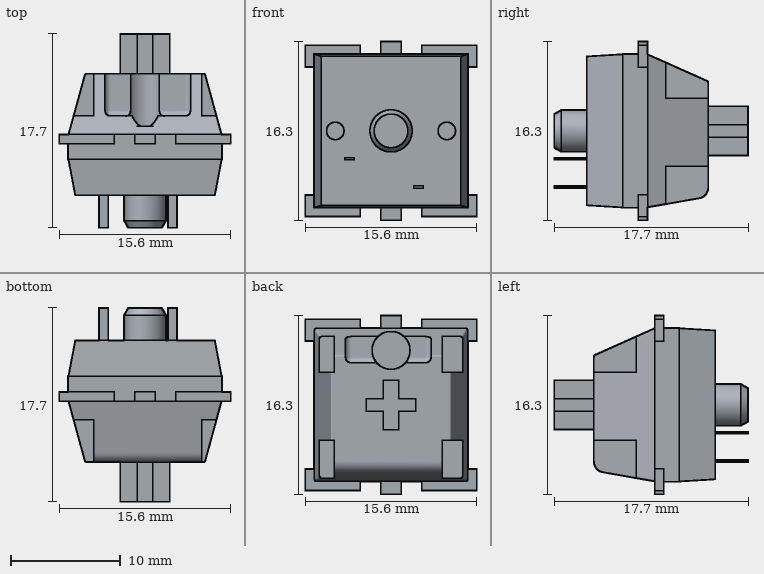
import cadquery as cq
import math


COLLAR_SIDE = 14.05
TAPER_SIDE = 13.98
TAPER_START_Y = -2.27
FLOOR_Y = -5.55
FLOOR_WIDTH = 12.74
FLOOR_HEIGHT = 13.58

LUG_THICKNESS = 0.86
CORNER_LUG_SPAN = 15.64
CORNER_LUG_WIDTH = 5.03
CORNER_LUG_HEIGHT = 2.0
MIDDLE_LUG_SPAN = 16.33
MIDDLE_LUG_WIDTH = 1.9

UPPER_SIDE = 13.96
ROOF_Y = 5.54
ROOF_WIDTH = 10.92
ROOF_FRONT_Z = 4.51
ROOF_BACK_Z = -6.0
BACK_ROUND = 1.0
EDGE_ROUND = 0.2
STEP_Y = 1.68
CUT_CENTER_X = 0.25
NOTCH_SPACING = 9.81
NOTCH_FRONT_Z = 2.98
NOTCH_BACK_Z = -3.22

POCKET_WIDTH = 7.8
POCKET_WALL_Z = 3.84
POCKET_FILLET = 0.5
GROOVE_RADIUS = 1.73
GROOVE_CENTER_Z = 4.97
GROOVE_FLOOR_Y = 0.72

STEM_TOP_Y = 9.16
STEM_SPAN = 4.53
STEM_UPRIGHT_WIDTH = 1.386
STEM_CROSSBAR_HEIGHT = 1.13

TIP_Y = -8.52
POST_DIAMETER = 3.85
POST_TAPER_LENGTH = 0.67
POST_TAPER_ANGLE = 30
PIN_WIDTH = 0.85
PIN_THICKNESS = 0.2
PIN_POSITIONS = [(-3.77, -2.53), (2.5, -5.11)]
PLUG_DIAMETER = 1.6
PLUG_DEPTH = 1.0
PLUG_OFFSET_X = 5.08


def box(x_range, y_range, z_range):
    """Box between the given limits on each axis."""
    low, high = zip(x_range, y_range, z_range)
    size = [b - a for a, b in zip(low, high)]
    return cq.Workplane("XY").box(*size, centered=False).translate(low)


def centered_bar(width, height, y_range, center=(0, 0)):
    """Bar along Y with a width x height section centred at (X, Z)."""
    x, z = center
    return box(
        (x - width / 2, x + width / 2),
        y_range,
        (z - height / 2, z + height / 2),
    )


def cylinder(diameter, y_range, center=(0, 0)):
    """Cylinder along Y centred at (X, Z)."""
    start, end = y_range
    x, z = center
    disc = cq.Workplane("XZ", origin=(x, end, z)).circle(diameter / 2)
    return disc.extrude(end - start)


def side_plugs():
    plugs = cq.Workplane("XY")
    for x in (-PLUG_OFFSET_X, PLUG_OFFSET_X):
        plug = cylinder(PLUG_DIAMETER, (FLOOR_Y, FLOOR_Y + PLUG_DEPTH), (x, 0))
        plugs = plugs.add(plug.val())
    return plugs


def flange_lugs():
    """Four corner lugs and two middle lugs, as blocks that reach into the housing."""
    lug_y = (-LUG_THICKNESS, 0)
    lugs = centered_bar(MIDDLE_LUG_WIDTH, MIDDLE_LUG_SPAN, lug_y)
    for x_side in (-1, 1):
        for z_side in (-1, 1):
            center = (
                x_side * (CORNER_LUG_SPAN - CORNER_LUG_WIDTH) / 2,
                z_side * (CORNER_LUG_SPAN - CORNER_LUG_HEIGHT) / 2,
            )
            lugs = lugs.union(centered_bar(CORNER_LUG_WIDTH, CORNER_LUG_HEIGHT, lug_y, center))
    return lugs


def lower_housing(plugs):
    """Collar with lugs and a tapered floor block, recessed for the plugs."""
    collar = centered_bar(COLLAR_SIDE, COLLAR_SIDE, (TAPER_START_Y, 0))
    tapered = (
        cq.Workplane("XZ", origin=(0, TAPER_START_Y, 0))
        .rect(TAPER_SIDE, TAPER_SIDE)
        .workplane(offset=TAPER_START_Y - FLOOR_Y)
        .rect(FLOOR_WIDTH, FLOOR_HEIGHT)
        .loft(ruled=True)
    )
    housing = collar.union(tapered).union(flange_lugs())
    for plug in plugs.vals():
        housing = housing.cut(cq.Workplane(plug))
    return housing


def sloped_shell():
    """Upper housing before its cuts: four leaning sides with rounded edges."""
    half = UPPER_SIDE / 2

    roof_x = ROOF_WIDTH / 2
    across_x = (
        cq.Workplane("XY")
        .polyline([(-half, 0), (half, 0), (roof_x, ROOF_Y), (-roof_x, ROOF_Y)])
        .close()
        .extrude(half, both=True)
    )
    across_z = (
        cq.Workplane("YZ")
        .polyline([(0, -half), (0, half), (ROOF_Y, ROOF_FRONT_Z), (ROOF_Y, ROOF_BACK_Z)])
        .close()
        .extrude(half, both=True)
    )
    shell = across_x.intersect(across_z)
    shell = shell.faces(">Y").edges("<Z").fillet(BACK_ROUND)
    return shell.edges("not <Y").fillet(EDGE_ROUND)


def corner_notches():
    notches = cq.Workplane("XY")
    reach_y = (STEP_Y, ROOF_Y)
    half = UPPER_SIDE / 2
    left = CUT_CENTER_X - NOTCH_SPACING / 2
    right = CUT_CENTER_X + NOTCH_SPACING / 2
    for x_range in ((-half, left), (right, half)):
        for z_range in ((-half, NOTCH_BACK_Z), (NOTCH_FRONT_Z, half)):
            notches = notches.union(box(x_range, reach_y, z_range))
    return notches


def front_pocket():
    """Round-cornered pocket, open to the roof and to the +Z side."""
    x_range = (CUT_CENTER_X - POCKET_WIDTH / 2, CUT_CENTER_X + POCKET_WIDTH / 2)
    pocket = box(x_range, (STEP_Y, ROOF_Y), (POCKET_WALL_Z, UPPER_SIDE / 2))
    inner_edges = pocket.edges("(|Y and <Z) or (|Z and <Y) or (|X and <Y and <Z)")
    return inner_edges.fillet(POCKET_FILLET)


def upper_housing():
    groove = cylinder(2 * GROOVE_RADIUS, (GROOVE_FLOOR_Y, ROOF_Y), (0, GROOVE_CENTER_Z))
    return sloped_shell().cut(corner_notches()).cut(front_pocket()).cut(groove)


def cross_stem():
    stem_y = (ROOF_Y, STEM_TOP_Y)
    upright = centered_bar(STEM_UPRIGHT_WIDTH, STEM_SPAN, stem_y)
    return upright.union(centered_bar(STEM_SPAN, STEM_CROSSBAR_HEIGHT, stem_y))


def center_post():
    inset = POST_TAPER_LENGTH * math.tan(math.radians(POST_TAPER_ANGLE))
    radius = POST_DIAMETER / 2
    return (
        cq.Workplane("XY")
        .moveTo(0, FLOOR_Y)
        .lineTo(radius, FLOOR_Y)
        .lineTo(radius, TIP_Y + POST_TAPER_LENGTH)
        .lineTo(radius - inset, TIP_Y)
        .lineTo(0, TIP_Y)
        .close()
        .revolve(360, (0, 0), (0, 1))
    )


def contact_pins():
    pins = cq.Workplane("XY")
    for position in PIN_POSITIONS:
        pins = pins.add(centered_bar(PIN_WIDTH, PIN_THICKNESS, (TIP_Y, FLOOR_Y), position).val())
    return pins


plugs = side_plugs()
lower = lower_housing(plugs)
upper = upper_housing()
stem = cross_stem()
post = center_post()
pins = contact_pins()

result = cq.Compound.makeCompound(
    [lower.val(), upper.val(), stem.val(), post.val(), *pins.vals(), *plugs.vals()]
)